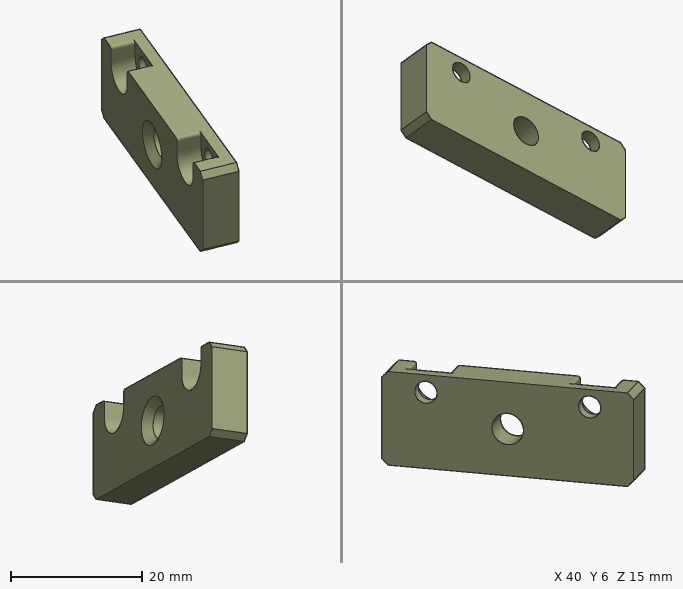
import cadquery as cq

length = 40.0
thickness = 6.0
height = 15.0
corner_chamfer = 1.0

center_hole_diameter = 4.98
countersink_diameter = 7.65
countersink_angle = 90.0

mount_spacing = 26.0
mount_hole_diameter = 3.5
mount_hole_drop = 2.8
recess_width = 6.4
recess_depth = 4.0
recess_mouth_radius = 0.5

front_y = -thickness / 2
top_z = height / 2
mount_z = top_z - mount_hole_drop


def front_plane(x, z):
    """Workplane on the front face at (x, z), with its normal pointing into the plate (+Y)."""
    plane = cq.Plane(origin=(x, front_y, z), xDir=(1, 0, 0), normal=(0, 1, 0))
    return cq.Workplane(plane)


def make_plate():
    plate = cq.Workplane("XY").box(length, thickness, height)
    return plate.edges("|Y").chamfer(corner_chamfer)


def make_recess():
    """U-shaped cutter around a mounting hole axis, flared by arcs at the top face."""
    half_width = recess_width / 2
    mouth_half_width = half_width + recess_mouth_radius
    top = -mount_hole_drop
    wall_top = top + recess_mouth_radius
    return (
        front_plane(0, mount_z)
        .moveTo(-mouth_half_width, top)
        .radiusArc((-half_width, wall_top), -recess_mouth_radius)
        .lineTo(-half_width, 0)
        .threePointArc((0, half_width), (half_width, 0))
        .lineTo(half_width, wall_top)
        .radiusArc((mouth_half_width, top), -recess_mouth_radius)
        .close()
        .extrude(recess_depth)
    )


def make_mount_hole():
    return front_plane(0, mount_z).circle(mount_hole_diameter / 2).extrude(thickness)


def cut_center_hole(body):
    return (
        body.faces("<Y")
        .workplane(origin=(0, front_y, 0))
        .cskHole(center_hole_diameter, countersink_diameter, countersink_angle)
    )


result = cut_center_hole(make_plate())
mount_cutter = make_recess().union(make_mount_hole())
for side in (-1, 1):
    result = result.cut(mount_cutter.translate((side * mount_spacing / 2, 0, 0)))